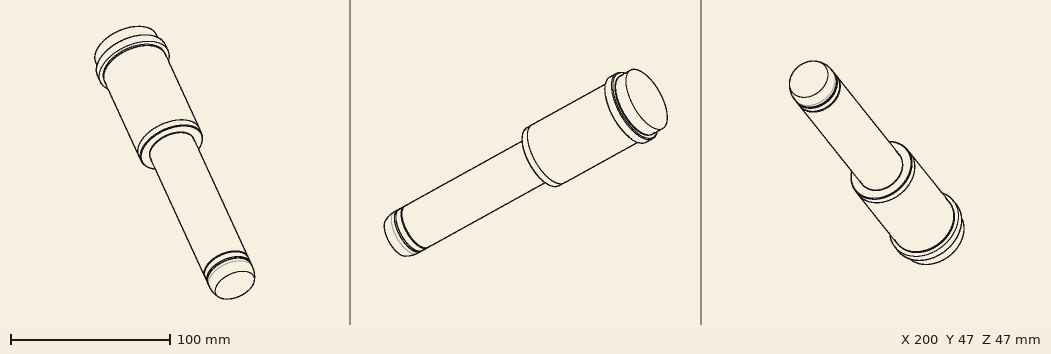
import cadquery as cq
import math

total_length = 200.0
body_radius = 42.0 / 2
flange_radius = 47.0 / 2
shaft_radius = 30.0 / 2

flange_start = 9.0
flange_end = 15.0
flange_chamfer = 0.5
front_relief_width = 0.5
rear_relief_width = 1.2
relief_depth = 0.2

body_end = 83.8
lead_start = 79.0
lead_reduction = 0.1
body_chamfer = 0.5

undercut_width = 0.5
undercut_depth = 0.2

ring_grooves = [(184.5, 0.5), (189.2, 1.2)]
ring_depth = 0.2

nose_start = 192.8
nose_arc_radius = 15.0


def cylinder(start, end, radius):
    """Solid cylinder along X between two stations."""
    return cq.Workplane("YZ").workplane(offset=start).circle(radius).extrude(end - start)


def cut_groove(part, start, width, surface_radius, depth):
    """Cut a square ring groove into a cylindrical surface."""
    outer = cylinder(start, start + width, surface_radius)
    core = cylinder(start, start + width, surface_radius - depth)
    return part.cut(outer.cut(core))


def make_body():
    main = cylinder(0, lead_start, body_radius)
    lead = cylinder(lead_start, body_end, body_radius - lead_reduction)
    lead = lead.faces(">X").edges().chamfer(body_chamfer)
    return main.union(lead)


def make_flange():
    flange = cylinder(flange_start, flange_end, flange_radius)
    return flange.faces("<X").edges().chamfer(flange_chamfer)


def nose_point(distance):
    """Point on the nose arc at a given distance past its start."""
    drop = nose_arc_radius - math.sqrt(nose_arc_radius**2 - distance**2)
    return (nose_start + distance, shaft_radius - drop)


def make_shaft():
    nose_length = total_length - nose_start
    return (
        cq.Workplane("XY")
        .moveTo(0, 0)
        .lineTo(0, shaft_radius)
        .lineTo(nose_start, shaft_radius)
        .threePointArc(nose_point(nose_length / 2), nose_point(nose_length))
        .lineTo(total_length, 0)
        .close()
        .revolve(360, (0, 0, 0), (1, 0, 0))
    )


shaft = cut_groove(make_shaft(), body_end, undercut_width, shaft_radius, undercut_depth)
for ring_start, ring_width in ring_grooves:
    shaft = cut_groove(shaft, ring_start, ring_width, shaft_radius, ring_depth)

front_relief_start = flange_start - front_relief_width
body = cut_groove(make_body(), front_relief_start, front_relief_width, body_radius, relief_depth)
body = cut_groove(body, flange_end, rear_relief_width, body_radius, relief_depth)

result = body.union(make_flange()).union(shaft)